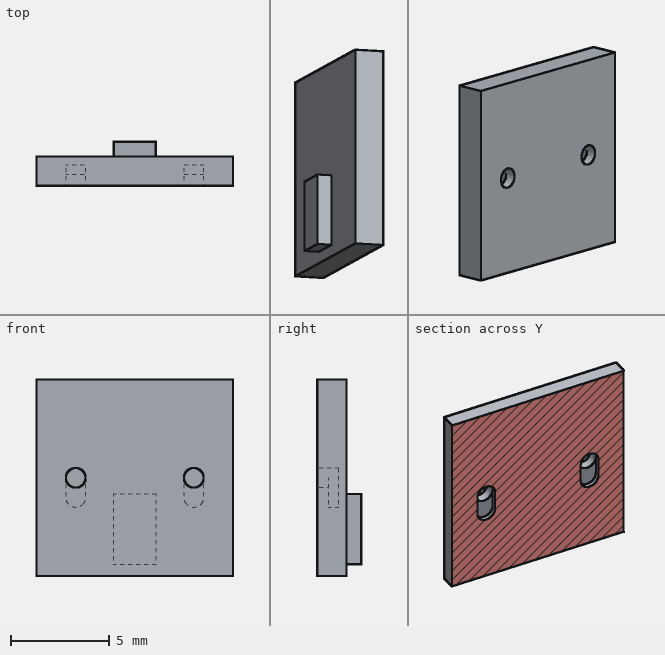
import cadquery as cq

PLATE_SIDE = 10.0
PLATE_THICKNESS = 1.5

PORT_DIAMETER = 1.0
PORT_SPACING = 6.0

SKIN_THICKNESS = 0.575
CHANNEL_DEPTH = 0.5
CHANNEL_RUN = 1.0
PORT_DEPTH = SKIN_THICKNESS + CHANNEL_DEPTH

BLOCK_WIDTH = 2.15
BLOCK_THICKNESS = 0.75
BLOCK_HEIGHT = 3.58
BLOCK_BOTTOM_MARGIN = 0.6


def make_port_cutter():
    """Round blind port at the origin, with its round-ended channel below it."""
    inward = cq.Vector(0, 1, 0)
    radius = PORT_DIAMETER / 2
    port = cq.Solid.makeCylinder(radius, PORT_DEPTH, cq.Vector(0, 0, 0), inward)
    channel_end_center = cq.Vector(0, SKIN_THICKNESS, -CHANNEL_RUN)
    channel_end = cq.Solid.makeCylinder(radius, CHANNEL_DEPTH, channel_end_center, inward)
    channel_corner = cq.Vector(-radius, SKIN_THICKNESS, -CHANNEL_RUN)
    channel = cq.Solid.makeBox(PORT_DIAMETER, CHANNEL_DEPTH, CHANNEL_RUN, channel_corner)
    return cq.Workplane(port).union(cq.Workplane(channel)).union(cq.Workplane(channel_end))


def make_plate():
    """Square plate with two ports and their undercut channels."""
    plate = cq.Workplane("XY").box(PLATE_SIDE, PLATE_THICKNESS, PLATE_SIDE)
    plate = plate.translate((0, PLATE_THICKNESS / 2, 0))
    port_cutter = make_port_cutter()
    for side in (-1, 1):
        plate = plate.cut(port_cutter.translate((side * PORT_SPACING / 2, 0, 0)))
    return plate


def make_block():
    """Block lying flat against the back face of the plate."""
    center_y = PLATE_THICKNESS + BLOCK_THICKNESS / 2
    center_z = -PLATE_SIDE / 2 + BLOCK_BOTTOM_MARGIN + BLOCK_HEIGHT / 2
    block = cq.Workplane("XY").box(BLOCK_WIDTH, BLOCK_THICKNESS, BLOCK_HEIGHT)
    return block.translate((0, center_y, center_z))


plate = make_plate()
block = make_block()

result = cq.Compound.makeCompound([plate.val(), block.val()])